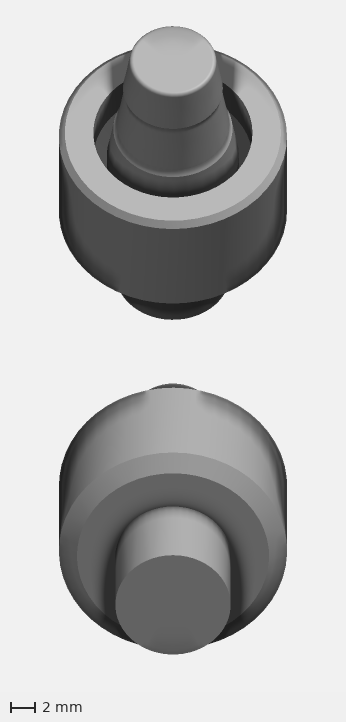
import cadquery as cq
import math

shank_diameter = 9.6

collar_diameter = 19.0
collar_bottom = 8.0
collar_top = 20.0
top_chamfer = 0.5
bottom_chamfer_width = 1.5
bottom_chamfer_angle = 30.0

pocket_diameter = 13.25
pocket_wall_depth = 3.6
floor_angle = 42.0

total_height = 30.4
pin_base_diameter = 11.0
pin_taper_start = 16.8
taper_angle = 8.0
tip_fillet = 0.35

recess_top = 26.35
recess_bottom = 20.6
recess_depth = 0.18
recess_blend_height = 0.62
cutter_clearance = 0.5

taper = math.tan(math.radians(taper_angle))


def pin_radius(z):
    """Radius of the unrecessed pin taper at height z."""
    return pin_base_diameter / 2 - (z - pin_taper_start) * taper


def recess_radius(z):
    """Radius of the recessed taper at height z."""
    return pin_radius(z) - recess_depth


def make_body():
    """Solid of revolution: shank, collar, pocket and pin without the recess."""
    shank_radius = shank_diameter / 2
    collar_radius = collar_diameter / 2
    pocket_radius = pocket_diameter / 2
    pin_base_radius = pin_base_diameter / 2
    bottom_chamfer_height = bottom_chamfer_width * math.tan(math.radians(bottom_chamfer_angle))
    floor_outer_z = collar_top - pocket_wall_depth
    floor_drop = (pocket_radius - pin_base_radius) * math.tan(math.radians(floor_angle))
    profile = (
        cq.Workplane("YZ")
        .moveTo(0, 0)
        .lineTo(shank_radius, 0)
        .lineTo(shank_radius, collar_bottom)
        .lineTo(collar_radius - bottom_chamfer_width, collar_bottom)
        .lineTo(collar_radius, collar_bottom + bottom_chamfer_height)
        .lineTo(collar_radius, collar_top - top_chamfer)
        .lineTo(collar_radius - top_chamfer, collar_top)
        .lineTo(pocket_radius, collar_top)
        .lineTo(pocket_radius, floor_outer_z)
        .lineTo(pin_base_radius, floor_outer_z - floor_drop)
        .lineTo(pin_base_radius, pin_taper_start)
        .lineTo(pin_radius(total_height), total_height)
        .lineTo(0, total_height)
        .close()
    )
    body = profile.revolve(360, (0, 0, 0), (0, 1, 0))
    return body.faces(">Z").edges().fillet(tip_fillet)


def blend_arc(z_start, z_end):
    """Arc tangent to the recessed taper at z_start, meeting the full pin taper at z_end."""
    rise = math.copysign(1, z_end - z_start)
    return cq.Edge.makeTangentArc(
        cq.Vector(0, recess_radius(z_start), z_start),
        cq.Vector(0, -taper * rise, rise),
        cq.Vector(0, pin_radius(z_end), z_end),
    )


def make_recess():
    """Ring to cut from the pin, with a concave blend at each end of the recessed taper."""
    upper_blend = blend_arc(recess_top - recess_blend_height, recess_top)
    lower_blend = blend_arc(recess_bottom + recess_blend_height, recess_bottom)
    clear_radius = pin_radius(recess_bottom) + cutter_clearance
    upper_corner = cq.Vector(0, clear_radius, recess_top)
    lower_corner = cq.Vector(0, clear_radius, recess_bottom)
    outline = cq.Wire.assembleEdges([
        cq.Edge.makeLine(lower_blend.startPoint(), upper_blend.startPoint()),
        upper_blend,
        cq.Edge.makeLine(upper_blend.endPoint(), upper_corner),
        cq.Edge.makeLine(upper_corner, lower_corner),
        cq.Edge.makeLine(lower_corner, lower_blend.endPoint()),
        lower_blend,
    ])
    axis_start = cq.Vector(0, 0, 0)
    axis_end = cq.Vector(0, 0, 1)
    return cq.Solid.revolve(outline, [], 360, axis_start, axis_end)


result = make_body().cut(cq.Workplane(make_recess())).solids()